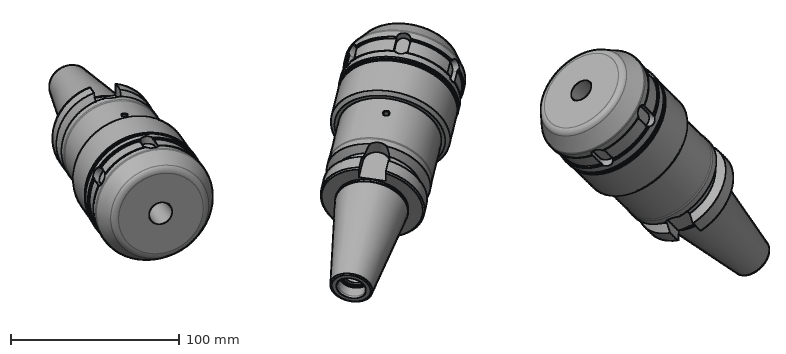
import cadquery as cq
import math

total_length = 185.4

taper_length = 65.5
gauge_dia = 44.5
taper_ratio = 7 / 24
shank_end_chamfer_length = 0.5
shank_end_chamfer_depth = 1.0
relief_dia = 43.5

flange_face_x = 67.3
flange_dia = 63.0
flange_chamfer = 1.0
groove_start_x = 76.5
groove_floor_start_x = 80.0
groove_floor_end_x = 83.8
groove_end_x = 86.8
groove_floor_dia = 53.0
flange_end_x = 92.1
flange_back_chamfer_length = 1.1

keyway_width = 16.1
keyway_end_x = 88.5
keyway_floor_height = 22.5

body_dia = 62.5
collar_start_x = 123.3
collar_dia = 72.3
collar_chamfer_length = 1.9
collar_chamfer_depth = 2.6
collar_end_x = 149.2
collar_back_chamfer = 0.5

neck_dia = 69.3
nut_start_x = 151.0
nut_dia = 73.0
nut_chamfer = 0.7
band_start_x = 156.5
band_end_x = 167.6
band_dia = 70.8
band_step_length = 0.7
band_step_dia = 72.1
nose_start_x = 172.6
nose_angle = 30.0
nose_edge_fillet = 1.9
nose_fillet = 4.8

slot_count = 6
slot_center_x = 162.8
slot_length = 16.3
slot_width = 8.5
slot_floor_radius = 31.7

entry_dia = 18.0
entry_length = 1.5
pilot_dia = 17.0
pilot_depth = 7.8
pilot_cone_length = 0.7
thread_dia = 16.0
thread_end_x = 9.6
thread_cone_length = 1.0
bore_dia = 14.3

radial_hole_x = 112.0
radial_hole_dia = 3.3
radial_hole_mouth_dia = 4.0


def revolved(profile):
    """Revolve a closed XY wire about the X axis."""
    return profile.close().revolve(360, (0, 0, 0), (1, 0, 0))


def make_outer_body():
    shank_end_radius = (gauge_dia - taper_length * taper_ratio) / 2
    chamfered_radius = shank_end_radius + shank_end_chamfer_length * taper_ratio / 2
    flange_radius = flange_dia / 2
    body_radius = body_dia / 2
    collar_radius = collar_dia / 2
    nut_radius = nut_dia / 2
    nose_length = total_length - nose_start_x
    nose_corner_radius = nut_radius - nose_length * math.tan(math.radians(nose_angle))

    edge_tangent_length = nose_edge_fillet * math.tan(math.radians(nose_angle) / 2)
    tangent_length = nose_fillet * math.tan(math.radians(90 - nose_angle) / 2)
    cone_dx = math.cos(math.radians(nose_angle))
    cone_dr = -math.sin(math.radians(nose_angle))
    edge_start = (nose_start_x - edge_tangent_length, nut_radius)
    edge_end = (
        nose_start_x + edge_tangent_length * cone_dx,
        nut_radius + edge_tangent_length * cone_dr,
    )
    fillet_start = (
        total_length - tangent_length * cone_dx,
        nose_corner_radius - tangent_length * cone_dr,
    )
    fillet_end = (total_length, nose_corner_radius - tangent_length)

    profile = (
        cq.Workplane("XY")
        .moveTo(0, 0)
        .lineTo(0, shank_end_radius - shank_end_chamfer_depth)
        .lineTo(shank_end_chamfer_length, chamfered_radius)
        .lineTo(taper_length, gauge_dia / 2)
        .lineTo(taper_length, relief_dia / 2)
        .lineTo(flange_face_x, relief_dia / 2)
        .lineTo(flange_face_x, flange_radius - flange_chamfer)
        .lineTo(flange_face_x + flange_chamfer, flange_radius)
        .lineTo(groove_start_x, flange_radius)
        .lineTo(groove_floor_start_x, groove_floor_dia / 2)
        .lineTo(groove_floor_end_x, groove_floor_dia / 2)
        .lineTo(groove_end_x, flange_radius)
        .lineTo(flange_end_x - flange_back_chamfer_length, flange_radius)
        .lineTo(flange_end_x, body_radius)
        .lineTo(collar_start_x, body_radius)
        .lineTo(collar_start_x, collar_radius - collar_chamfer_depth)
        .lineTo(collar_start_x + collar_chamfer_length, collar_radius)
        .lineTo(collar_end_x - collar_back_chamfer, collar_radius)
        .lineTo(collar_end_x, collar_radius - collar_back_chamfer)
        .lineTo(collar_end_x, neck_dia / 2)
        .lineTo(nut_start_x, neck_dia / 2)
        .lineTo(nut_start_x, nut_radius - nut_chamfer)
        .lineTo(nut_start_x + nut_chamfer, nut_radius)
        .lineTo(band_start_x, nut_radius)
        .lineTo(band_start_x, band_step_dia / 2)
        .lineTo(band_start_x + band_step_length, band_dia / 2)
        .lineTo(band_end_x - band_step_length, band_dia / 2)
        .lineTo(band_end_x, band_step_dia / 2)
        .lineTo(band_end_x, nut_radius)
        .lineTo(*edge_start)
        .radiusArc(edge_end, nose_edge_fillet)
        .lineTo(*fillet_start)
        .radiusArc(fillet_end, nose_fillet)
        .lineTo(total_length, 0)
    )
    return revolved(profile)


def make_bore():
    profile = (
        cq.Workplane("XY")
        .moveTo(0, 0)
        .lineTo(0, entry_dia / 2)
        .lineTo(entry_length, pilot_dia / 2)
        .lineTo(pilot_depth, pilot_dia / 2)
        .lineTo(pilot_depth + pilot_cone_length, thread_dia / 2)
        .lineTo(thread_end_x, thread_dia / 2)
        .lineTo(thread_end_x + thread_cone_length, bore_dia / 2)
        .lineTo(total_length, bore_dia / 2)
        .lineTo(total_length, 0)
    )
    return revolved(profile)


def make_keyway():
    """Round-ended slot above the keyway floor, open through the flange face."""
    half_width = keyway_width / 2
    arc_start_x = keyway_end_x - half_width
    outline = (
        cq.Workplane("XY")
        .workplane(offset=keyway_floor_height)
        .moveTo(taper_length, -half_width)
        .lineTo(arc_start_x, -half_width)
        .threePointArc((keyway_end_x, 0), (arc_start_x, half_width))
        .lineTo(taper_length, half_width)
        .close()
    )
    return outline.extrude(flange_dia / 2)


def make_spanner_slot():
    return (
        cq.Workplane("XY")
        .workplane(offset=slot_floor_radius)
        .center(slot_center_x, 0)
        .slot2D(slot_length, slot_width)
        .extrude(nut_dia / 2)
    )


def make_radial_hole():
    """Hole from the top of the body into the bore, with a 45 degree mouth chamfer."""
    chamfer = (radial_hole_mouth_dia - radial_hole_dia) / 2
    surface = body_dia / 2
    profile = (
        cq.Workplane("XZ")
        .moveTo(0, 0)
        .lineTo(radial_hole_dia / 2, 0)
        .lineTo(radial_hole_dia / 2, surface - chamfer)
        .lineTo(radial_hole_mouth_dia / 2, surface)
        .lineTo(radial_hole_mouth_dia / 2, surface + chamfer)
        .lineTo(0, surface + chamfer)
        .close()
    )
    hole = profile.revolve(360, (0, 0, 0), (0, 1, 0))
    return hole.translate((radial_hole_x, 0, 0))


def copies_about_axis(shape, count):
    return [shape.rotate((0, 0, 0), (1, 0, 0), i * 360 / count) for i in range(count)]


result = make_outer_body().cut(make_bore())
for keyway in copies_about_axis(make_keyway(), 2):
    result = result.cut(keyway)
for slot in copies_about_axis(make_spanner_slot(), slot_count):
    result = result.cut(slot)
result = result.cut(make_radial_hole())